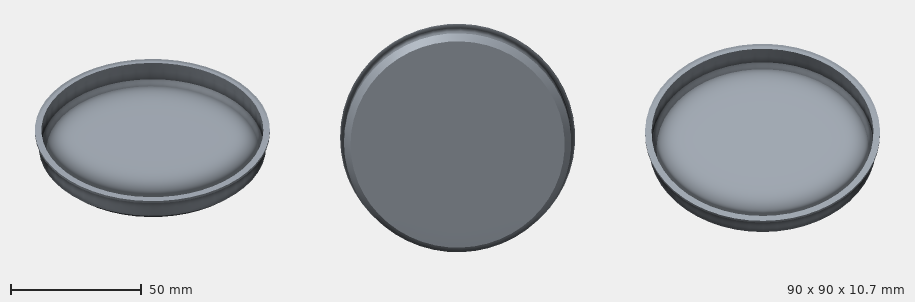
import cadquery as cq

rim_diameter = 90.0
height = 10.7
rim_thickness = 1.0

body_diameter = 87.0
cavity_diameter = 85.0
outer_chamfer = 2.5

floor_thickness = 1.0
cavity_chamfer = 1.9

body = cq.Workplane("XY").circle(body_diameter / 2).extrude(height)
body = body.faces("<Z").edges().chamfer(outer_chamfer)

rim = (
    cq.Workplane("XY")
    .workplane(offset=height - rim_thickness)
    .circle(rim_diameter / 2)
    .extrude(rim_thickness)
)

cavity = (
    cq.Workplane("XY")
    .workplane(offset=floor_thickness)
    .circle(cavity_diameter / 2)
    .extrude(height - floor_thickness)
    .faces("<Z")
    .edges()
    .chamfer(cavity_chamfer)
)

result = body.union(rim).cut(cavity)